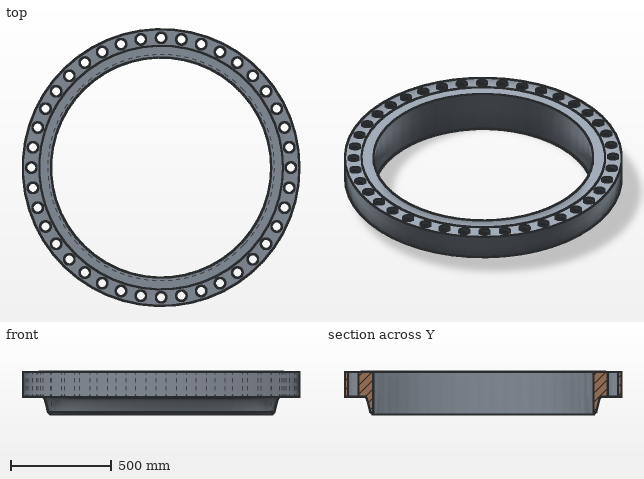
import cadquery as cq

outer_diameter = 1384.0
total_height = 215.0
bore_diameter = 1099.0

plate_bottom = 89.0
face_diameter = 1218.0
face_height = 1.0

neck_top_radius = 585.0
neck_bottom_radius = 566.0
neck_fillet = 17.0
bevel_height = 12.0
end_radius = 554.0

bolt_count = 40
bolt_circle_diameter = 1297.0
bolt_hole_diameter = 51.0

outer_radius = outer_diameter / 2
bore_radius = bore_diameter / 2
face_radius = face_diameter / 2
plate_top = total_height - face_height


def flange_body():
    """Revolve the half section of plate, neck and weld bevel around Z."""
    section = (
        cq.Workplane("XZ")
        .moveTo(bore_radius, 0)
        .lineTo(end_radius, 0)
        .lineTo(neck_bottom_radius, bevel_height)
        .lineTo(neck_top_radius, plate_bottom)
        .lineTo(outer_radius, plate_bottom)
        .lineTo(outer_radius, plate_top)
        .lineTo(face_radius, plate_top)
        .lineTo(face_radius, total_height)
        .lineTo(bore_radius, total_height)
        .close()
    )
    return section.revolve(360, (0, 0, 0), (0, 1, 0))


def round_neck_root(body):
    """Fillet the inside corner where the neck meets the plate."""
    margin = 1.0
    reach = neck_top_radius + margin
    root_edge = cq.selectors.BoxSelector(
        (-reach, -reach, plate_bottom - margin),
        (reach, reach, plate_bottom + margin),
        boundingbox=True,
    )
    return body.edges(root_edge).fillet(neck_fillet)


def bolt_holes():
    """Cylinders for the ring of through holes, the first one on +X."""
    return (
        cq.Workplane("XY")
        .polarArray(bolt_circle_diameter / 2, 0, 360, bolt_count)
        .circle(bolt_hole_diameter / 2)
        .extrude(total_height)
    )


result = round_neck_root(flange_body()).cut(bolt_holes())